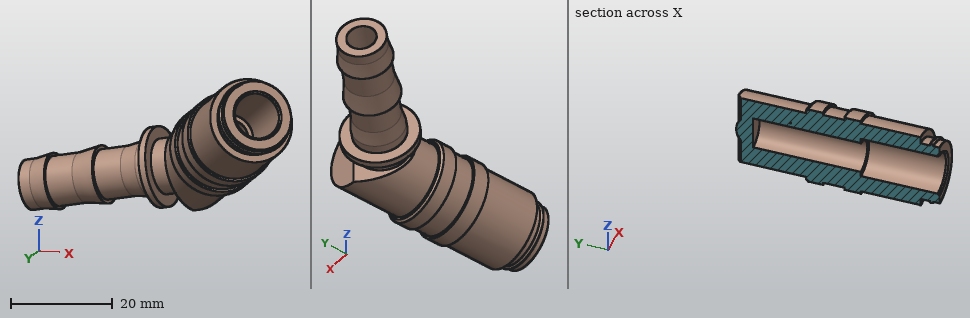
import cadquery as cq
import math

BEND_ANGLE = 45
OVERALL_LENGTH = 65.3
AXIS_CROSSING_Y = 34.95

NOSE_RADIUS = 7.0
BARREL_RADIUS = 8.5
BAND_RADIUS = 9.0
NECK_RADIUS = 8.0
SEAL_CENTER_Y = 1.7
SEAL_BEAD_RADIUS = 0.4
NOSE_END = 4.0
LOWER_BAND_START = 16.5
LOWER_BAND_END = 20.0
UPPER_BAND_START = 24.5
UPPER_BAND_END = 28.1
BAND_CHAMFER = 0.5
BODY_LENGTH = 42.5

TAIL_LENGTH = 33.05
TAIL_RADIUS = 5.0
BEND = math.radians(BEND_ANGLE)
TIP_TO_CROSSING = (OVERALL_LENGTH - AXIS_CROSSING_Y - TAIL_RADIUS * math.sin(BEND)) / math.cos(BEND)
ROOT_RADIUS = 5.55
FLANGE_RADIUS = 8.0
FLANGE_START = 27.95
FLANGE_END = 29.45
BARBS = [
    (2.4, 5.95, 5.6),
    (11.8, 16.6, 5.8),
    (22.45, 25.9, ROOT_RADIUS),
]

TAIL_BORE_RADIUS = 3.0
BODY_BORE_RADIUS = 3.5
MOUTH_RADIUS = 4.6
MOUTH_DEPTH = LOWER_BAND_START
MOUTH_CHAMFER = 0.4
BODY_BORE_END = AXIS_CROSSING_Y + TAIL_BORE_RADIUS / math.sin(BEND)


def revolve_y(outline):
    """Revolve (radius, y) points about the Y axis."""
    return cq.Workplane("XY").polyline(outline).close().revolve(360, (0, 0, 0), (0, 1, 0))


def place_on_tail(shape):
    """Swing a shape built along +Y about the axis crossing onto the tail axis."""
    swung = shape.rotate((0, 0, 0), (0, 0, 1), BEND_ANGLE)
    return swung.translate((0, AXIS_CROSSING_Y, 0))


def make_body():
    body = revolve_y([
        (0, 0),
        (NOSE_RADIUS, 0),
        (NOSE_RADIUS, NOSE_END),
        (BARREL_RADIUS, NOSE_END),
        (BARREL_RADIUS, LOWER_BAND_START),
        (BAND_RADIUS, LOWER_BAND_START),
        (BAND_RADIUS, LOWER_BAND_END),
        (BARREL_RADIUS, LOWER_BAND_END),
        (BARREL_RADIUS, UPPER_BAND_START),
        (BAND_RADIUS, UPPER_BAND_START),
        (BAND_RADIUS, UPPER_BAND_END - BAND_CHAMFER),
        (BAND_RADIUS - BAND_CHAMFER, UPPER_BAND_END),
        (NECK_RADIUS, UPPER_BAND_END),
        (NECK_RADIUS, BODY_LENGTH),
        (0, BODY_LENGTH),
    ])
    seal_bead = cq.Workplane("XY").center(NOSE_RADIUS, SEAL_CENTER_Y).circle(SEAL_BEAD_RADIUS)
    body = body.union(seal_bead.revolve(360, (-NOSE_RADIUS, 0, 0), (-NOSE_RADIUS, 1, 0)))

    face_distance = TIP_TO_CROSSING - TAIL_LENGTH
    beyond_face = cq.Workplane("XY").box(
        BODY_LENGTH, BODY_LENGTH, BODY_LENGTH, centered=(True, False, True)
    ).translate((0, face_distance, 0))
    return body.cut(place_on_tail(beyond_face))


def make_tail():
    def height(station):
        return TIP_TO_CROSSING - station

    outline = [(0, height(0)), (TAIL_RADIUS, height(0))]
    for start, end, radius in BARBS:
        outline.append((TAIL_RADIUS, height(start)))
        outline.append((radius, height(end)))
        if radius != ROOT_RADIUS:
            outline.append((TAIL_RADIUS, height(end)))
    outline += [
        (ROOT_RADIUS, height(FLANGE_START)),
        (FLANGE_RADIUS, height(FLANGE_START)),
        (FLANGE_RADIUS, height(FLANGE_END)),
        (ROOT_RADIUS, height(FLANGE_END)),
        (ROOT_RADIUS, height(TAIL_LENGTH)),
        (0, height(TAIL_LENGTH)),
    ]
    return place_on_tail(revolve_y(outline))


def make_body_bore():
    return revolve_y([
        (0, 0),
        (MOUTH_RADIUS + MOUTH_CHAMFER, 0),
        (MOUTH_RADIUS, MOUTH_CHAMFER),
        (MOUTH_RADIUS, MOUTH_DEPTH),
        (BODY_BORE_RADIUS, MOUTH_DEPTH),
        (BODY_BORE_RADIUS, BODY_BORE_END),
        (0, BODY_BORE_END),
    ])


def make_tail_bore():
    return place_on_tail(revolve_y([
        (0, 0),
        (TAIL_BORE_RADIUS, 0),
        (TAIL_BORE_RADIUS, TIP_TO_CROSSING),
        (0, TIP_TO_CROSSING),
    ]))


result = make_body().union(make_tail()).cut(make_body_bore()).cut(make_tail_bore())

result = result.translate((0, -BODY_LENGTH / 2, 0))